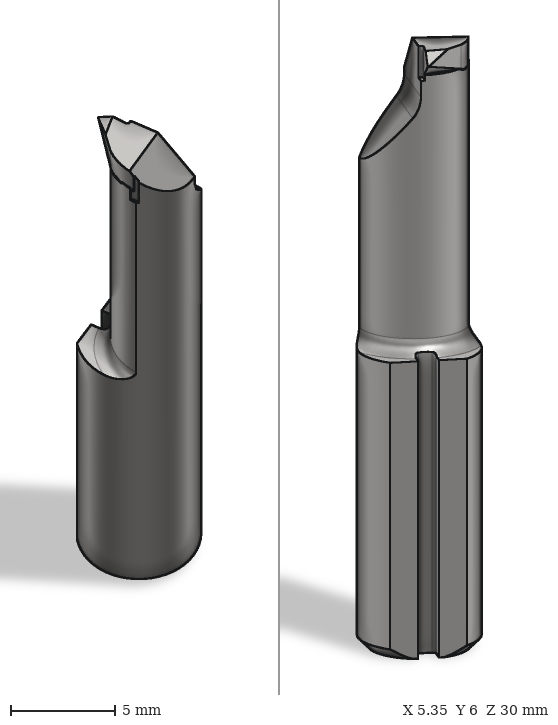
import cadquery as cq
import math

total_length = 30.0
shank_radius = 3.0
shoulder_z = 14.82
end_chamfer = 0.55
flat_x = -2.35
slot_width = 1.02
slot_depth = 0.9
slot_fillet = 0.18

neck_radius = 2.67
neck_x = 1.5
cove_radius = 0.78

flat_y = 0.15
ramp_start_z = 27.03
ramp_end_y = 2.7
ramp_end_z = 24.0
ramp_blend_radius = 1.65

head_bottom_z = 28.6
neck_top_z = 28.7
tip_x = -2.28
tip_y = 0.03
tip_z = 29.43
head_top_left_x = -1.47
head_top_right_x = 0.95
underside_end_x = -1.17
underside_end_z = 28.77
flank_end = (-0.45, -1.95)
head_arc_mid = (0.3, -2.4)
head_arc_end = (1.2, -2.6)
top_relief_angle = 2.0
flank_relief_angle = 9.0

pocket_end_x = -0.55
pocket_end_y = -0.1
pocket_floor_z = 28.45
pocket_corner_radius = 0.12

relief_start_x = 1.02
relief_end_x = 1.47
relief_floor_z = 27.9
relief_y = -2.55

big = 3 * shank_radius


def make_shank():
    """Round bar with a chamfered lower end."""
    shank = cq.Workplane("XY").circle(shank_radius).extrude(shoulder_z)
    return shank.faces("<Z").chamfer(end_chamfer)


def make_neck():
    """Offset round neck with a cove at its foot, kept within the shank cylinder."""
    foot_radius = neck_radius + cove_radius
    cove_top_z = shoulder_z + cove_radius
    cove_offset = cove_radius * (1 - math.sqrt(0.5))
    neck = (
        cq.Workplane("XZ")
        .moveTo(0, shoulder_z - end_chamfer)
        .lineTo(foot_radius, shoulder_z - end_chamfer)
        .lineTo(foot_radius, shoulder_z)
        .threePointArc(
            (neck_radius + cove_offset, shoulder_z + cove_offset),
            (neck_radius, cove_top_z),
        )
        .lineTo(neck_radius, total_length)
        .lineTo(0, total_length)
        .close()
        .revolve(360, (0, 0), (0, 1))
        .translate((neck_x, 0, 0))
    )
    return neck.intersect(make_envelope())


def make_envelope():
    """Full-length cylinder that bounds the neck."""
    return cq.Workplane("XY").circle(shank_radius).extrude(total_length)


def make_head():
    """Hooked head: its plan outline crossed with a V wedge that narrows toward -Y."""
    plan = (
        cq.Workplane("XY")
        .workplane(offset=head_bottom_z)
        .moveTo(tip_x, tip_y)
        .lineTo(*flank_end)
        .threePointArc(head_arc_mid, head_arc_end)
        .lineTo(head_arc_end[0], relief_y)
        .lineTo(relief_end_x, relief_y)
        .lineTo(relief_end_x, flat_y)
        .lineTo(tip_x, flat_y)
        .close()
        .extrude(total_length - head_bottom_z)
    )
    top_slope = (total_length - tip_z) / (head_top_left_x - tip_x)
    underside_slope = (underside_end_z - tip_z) / (underside_end_x - tip_x)
    tip_wedge = (
        cq.Workplane("XZ", origin=(0, flat_y, 0))
        .polyline([
            (tip_x, tip_z),
            (tip_x + big, tip_z + top_slope * big),
            (tip_x + big, tip_z + underside_slope * big),
        ])
        .close()
        .extrude(shank_radius, taper=flank_relief_angle)
    )
    return plan.intersect(tip_wedge)


def make_head_clearance():
    """Everything around the head on the -Y side, where the neck is replaced or ground away."""
    around_head = (
        cq.Workplane("XY")
        .box(big, big, total_length, centered=False)
        .translate((relief_start_x - big, flat_y - big, neck_top_z))
    )
    relief = (
        cq.Workplane("XY")
        .box(relief_end_x - relief_start_x, big, total_length, centered=False)
        .translate((relief_start_x, relief_y - big, relief_floor_z))
    )
    return around_head.union(relief)


def make_flat_and_slot():
    """Cutter for the shank flat and the axial slot centred in it."""
    flat = (
        cq.Workplane("XY")
        .box(big, big, total_length, centered=(False, True, False))
        .translate((flat_x - big, 0, 0))
    )
    slot = (
        cq.Workplane("XY")
        .box(big, slot_width, shoulder_z + cove_radius, centered=(False, True, False))
        .edges("|Z and >X")
        .fillet(slot_fillet)
        .translate((flat_x + slot_depth - big, 0, 0))
    )
    return flat.union(slot)


def make_ramp():
    """Cutter for the +Y flat, blended into the ramp below it."""
    slope = (ramp_start_z - ramp_end_z) / (ramp_end_y - flat_y)
    return (
        cq.Workplane("YZ")
        .polyline([
            (flat_y, total_length),
            (flat_y, ramp_start_z),
            (big, ramp_start_z - slope * (big - flat_y)),
            (big, total_length),
        ])
        .close()
        .extrude(big, both=True)
        .edges(cq.selectors.NearestToPointSelector((0, flat_y, ramp_start_z)))
        .fillet(ramp_blend_radius)
    )


def make_pocket():
    """Cutter for the chip pocket, rounded at its inner corner."""
    mid_z = (pocket_floor_z + total_length) / 2
    return (
        cq.Workplane("XY")
        .workplane(offset=pocket_floor_z)
        .polyline([
            (tip_x, tip_y),
            (pocket_end_x, pocket_end_y),
            (pocket_end_x, shank_radius),
            (tip_x, shank_radius),
        ])
        .close()
        .extrude(total_length - pocket_floor_z)
        .edges(cq.selectors.NearestToPointSelector((pocket_end_x, pocket_end_y, mid_z)))
        .fillet(pocket_corner_radius)
    )


def make_top_trim():
    """Cutter for the top face and its 45 degree bevel, both falling slightly toward -Y."""
    return (
        cq.Workplane("XZ")
        .polyline([
            (-big, total_length),
            (head_top_right_x, total_length),
            (head_top_right_x + big, total_length - big),
            (head_top_right_x + big, total_length + big),
            (-big, total_length + big),
        ])
        .close()
        .extrude(big, both=True)
        .rotate((0, flat_y, total_length), (1, flat_y, total_length), top_relief_angle)
    )


body = make_shank().union(make_neck())
body = body.cut(make_flat_and_slot())
body = body.cut(make_head_clearance()).union(make_head())
result = body.cut(make_ramp()).cut(make_pocket()).cut(make_top_trim())